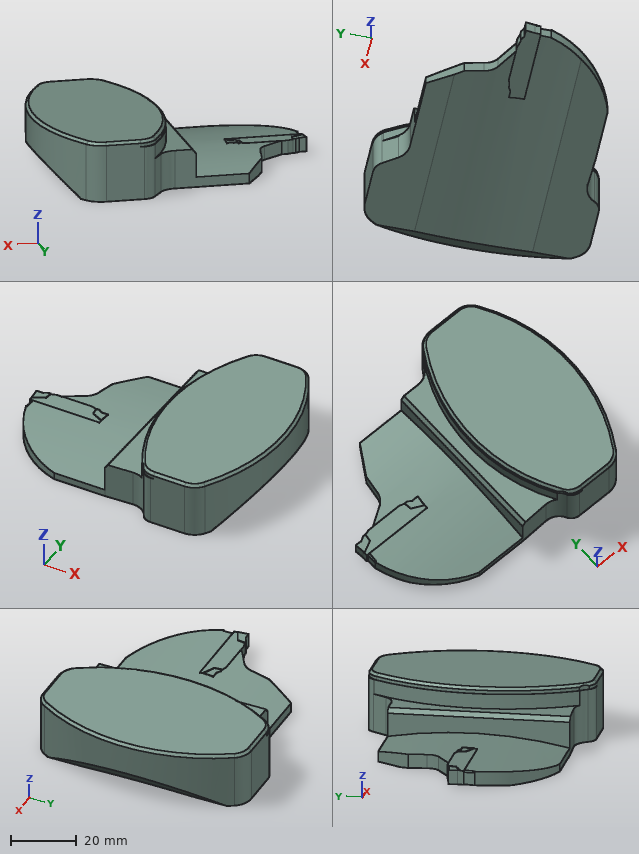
import cadquery as cq
import math

head_half_length = 35.0
head_half_width = 20.11
head_side_radius = 60.0
head_corner_radius = 6.5
head_top = 18.62
head_chamfer = 0.9
plate_bottom = 16.6
wall_step = 0.1
back_bevel_x = 12.0
back_bevel_height = head_half_width - back_bevel_x

neck_front_x = -25.05
neck_top = 12.0
neck_chamfer_length = 1.15
neck_chamfer_height = 1.5
neck_left_y = 25.95
neck_right_y = -30.15
neck_right_end_y = -29.5
left_flank_foot_x = -15.1
left_flank_end_x = -8.95
right_flank_foot_x = -11.6
right_flank_end_x = -8.8
flank_root_radius = 6.0
left_flank_end_radius = 4.5
right_flank_end_radius = 3.8

blade_crown = 5.55
blade_thickness = 4.35
blade_outer_radius = 144.0
blade_inner_radius = blade_outer_radius - blade_thickness
blade_axis_z = blade_crown - blade_outer_radius
blade_tip_x = -65.0
blade_tip_end_y = -7.9
blade_tip_arc_middle = (-57.8, -20.7)
blade_tip_arc_end_x = -42.6
blade_corner_x = -41.6
blade_slope_end = (-48.1, 15.5)
notch_arc_start = (-49.1, 9.6)
notch_arc_middle = (-49.75, 7.4)
notch_arc_end = (-51.2, 5.7)
notch_end_x = -57.8
blade_bevel_length = 0.7
blade_bevel_height = 0.6

insert_half_length = 12.47
insert_tip_x = -65.84
insert_center_x = insert_tip_x + insert_half_length
insert_top = 5.5
insert_back_y = -4.6
insert_back_half_length = 12.1
insert_relief_half_length = 12.15
insert_relief_y = -2.7
insert_edge_y = 0.1
insert_shoulder_y = 0.9
insert_crest_y = 1.45
edge_inner_offset = 10.2
shoulder_outer_offset = 8.9
shoulder_inner_offset = 7.9
crest_offset = 6.2
pad_height = 0.2
pad_inner_offset = 8.2
pad_inner_y = -1.6
pad_outer_y = -3.7

reach = 200.0


def side_arc_x(y):
    """X of the rear head side at a given Y."""
    return head_half_width - head_side_radius + math.sqrt(head_side_radius ** 2 - y ** 2)


head_end_x = side_arc_x(head_half_length)

right_flank_angle = math.atan2(neck_right_end_y + head_half_length, right_flank_end_x - right_flank_foot_x)
right_root_x = right_flank_foot_x - flank_root_radius * math.tan(right_flank_angle / 2)
right_root_y = neck_right_end_y - flank_root_radius


def x_cylinder(radius):
    """Long cylinder on the blade's arch axis."""
    return (
        cq.Workplane("YZ", origin=(-reach / 2, 0, 0))
        .center(0, blade_axis_z)
        .circle(radius)
        .extrude(reach)
    )


def round_upright_edge(body, x, y, radius):
    """Fillet the upright edge at (x, y)."""
    return body.edges("|Z").edges(cq.selectors.NearestToPointSelector((x, y, 0))).fillet(radius)


def make_plate():
    plate = (
        cq.Workplane("XY", origin=(0, 0, plate_bottom))
        .moveTo(-head_end_x, head_half_length)
        .lineTo(head_end_x, head_half_length)
        .threePointArc((head_half_width, 0), (head_end_x, -head_half_length))
        .lineTo(-head_end_x, -head_half_length)
        .threePointArc((-head_half_width, 0), (-head_end_x, head_half_length))
        .close()
        .extrude(head_top - plate_bottom)
    )
    plate = plate.edges("|Z").fillet(head_corner_radius)
    plate = plate.faces(">Z").edges().chamfer(head_chamfer)
    root = cq.Workplane("XY").center(right_root_x, right_root_y).circle(flank_root_radius).extrude(reach)
    return plate.cut(root)


def make_lower_body():
    """Head and neck below the plate, in one outline."""
    body = (
        cq.Workplane("XY")
        .moveTo(neck_front_x, neck_left_y)
        .lineTo(left_flank_foot_x, neck_left_y)
        .lineTo(left_flank_end_x, head_half_length)
        .lineTo(head_end_x, head_half_length)
        .threePointArc((head_half_width, 0), (head_end_x, -head_half_length))
        .lineTo(right_flank_end_x, -head_half_length)
        .lineTo(right_flank_foot_x, neck_right_end_y)
        .lineTo(neck_front_x, neck_right_y)
        .close()
        .extrude(plate_bottom)
    )
    for x, y, radius in (
        (left_flank_foot_x, neck_left_y, flank_root_radius),
        (left_flank_end_x, head_half_length, left_flank_end_radius),
        (right_flank_foot_x, neck_right_end_y, flank_root_radius),
        (right_flank_end_x, -head_half_length, right_flank_end_radius),
        (head_end_x, head_half_length, head_corner_radius),
        (head_end_x, -head_half_length, head_corner_radius),
    ):
        body = round_upright_edge(body, x, y, radius)

    wall_center_x = head_side_radius - head_half_width - wall_step
    above_neck = cq.Workplane("XY", origin=(0, 0, neck_top)).rect(reach, reach).extrude(reach)
    behind_wall = (
        cq.Workplane("XY", origin=(wall_center_x, 0, neck_top))
        .circle(head_side_radius)
        .extrude(reach)
    )
    body = body.cut(above_neck.cut(behind_wall))

    neck_bevel = (
        cq.Workplane("XZ")
        .moveTo(neck_front_x, neck_top - neck_chamfer_height)
        .lineTo(neck_front_x + neck_chamfer_length, neck_top)
        .lineTo(neck_front_x, neck_top)
        .close()
        .extrude(reach / 2, both=True)
    )
    return body.cut(neck_bevel)


def make_blade():
    outline = (
        cq.Workplane("XY")
        .moveTo(neck_front_x, neck_left_y)
        .lineTo(blade_corner_x, neck_left_y)
        .lineTo(*blade_slope_end)
        .lineTo(*notch_arc_start)
        .threePointArc(notch_arc_middle, notch_arc_end)
        .lineTo(notch_end_x, insert_crest_y)
        .lineTo(notch_end_x, insert_back_y)
        .lineTo(blade_tip_x, insert_back_y)
        .lineTo(blade_tip_x, blade_tip_end_y)
        .threePointArc(blade_tip_arc_middle, (blade_tip_arc_end_x, neck_right_y))
        .lineTo(neck_front_x, neck_right_y)
        .close()
        .extrude(neck_top)
    )
    blade = outline.intersect(x_cylinder(blade_outer_radius))
    tip_bevel = (
        cq.Workplane("XZ", origin=(0, blade_tip_end_y, 0))
        .moveTo(blade_tip_x, blade_crown - blade_bevel_height)
        .lineTo(blade_tip_x + blade_bevel_length, blade_crown)
        .lineTo(blade_tip_x, blade_crown)
        .close()
        .extrude(blade_tip_end_y - insert_back_y)
    )
    return blade.cut(tip_bevel)


def mirrored_points(half_points):
    """Close an outline from its +X half, given as offsets from the insert centre."""
    return half_points + [(-x, y) for x, y in reversed(half_points)]


def insert_prism(height):
    half_outline = [
        (insert_back_half_length, insert_back_y),
        (insert_relief_half_length, insert_relief_y),
        (insert_half_length, insert_edge_y),
        (edge_inner_offset, insert_edge_y),
        (shoulder_outer_offset, insert_shoulder_y),
        (shoulder_inner_offset, insert_shoulder_y),
        (crest_offset, insert_crest_y),
    ]
    return (
        cq.Workplane("XY", origin=(insert_center_x, 0, 0))
        .polyline(mirrored_points(half_outline))
        .close()
        .extrude(height)
    )


def make_insert():
    body = insert_prism(insert_top)
    pad_outline = [
        (insert_half_length, pad_outer_y),
        (insert_half_length, insert_edge_y),
        (edge_inner_offset, insert_edge_y),
        (shoulder_outer_offset, insert_shoulder_y),
        (shoulder_inner_offset, insert_shoulder_y),
        (pad_inner_offset, pad_inner_y),
    ]
    for side in (-1, 1):
        pad = (
            cq.Workplane("XY", origin=(insert_center_x, 0, insert_top))
            .polyline([(side * x, y) for x, y in pad_outline])
            .close()
            .extrude(pad_height)
        )
        body = body.union(pad.intersect(insert_prism(insert_top + pad_height)))
    return body.cut(x_cylinder(blade_inner_radius))


def make_holder():
    body = make_lower_body().union(make_plate()).union(make_blade())
    back_bevel = (
        cq.Workplane("XZ")
        .moveTo(back_bevel_x, 0)
        .lineTo(head_half_width, back_bevel_height)
        .lineTo(head_half_width, 0)
        .close()
        .extrude(reach / 2, both=True)
    )
    body = body.cut(back_bevel).cut(x_cylinder(blade_inner_radius))
    return body.cut(insert_prism(neck_top))


holder = make_holder()
insert = make_insert()
result = cq.Compound.makeCompound([holder.val(), insert.val()])